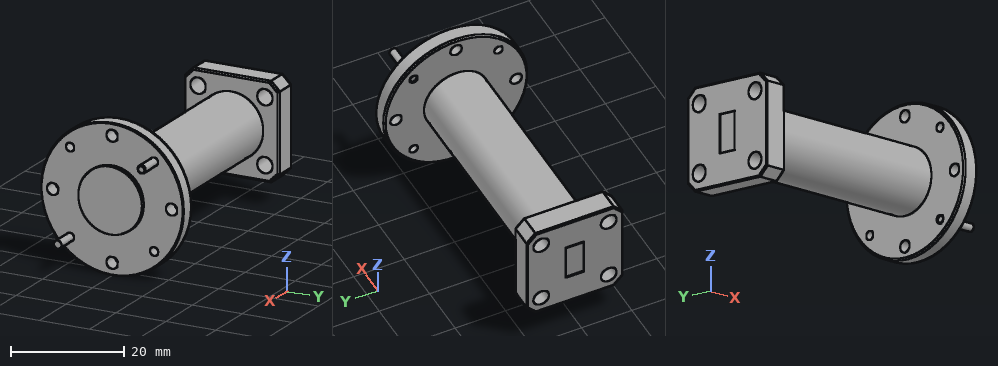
import cadquery as cq
import math


total_length = 54.85
square_thickness = 4.85
disc_start = 46.7
disc_thickness = 3.3
disc_end = disc_start + disc_thickness
boss_height = 0.75
short_pin_setback = 0.15

square_width = 19.05
corner_cut = 1.75
square_front_chamfer = 0.2
square_back_chamfer = 0.35
screw_hole_diameter = 3.05
screw_offset_y = 6.7
screw_offset_z = 6.35

window_width = 3.55
window_height = 7.15
window_depth = 0.2

tube_diameter = 12.75

disc_diameter = 28.6
disc_front_chamfer = 0.35
disc_back_chamfer = 0.15
bolt_circle_radius = 11.9
bolt_hole_diameter = 2.25
alignment_hole_diameter = 1.65

pin_diameter = 1.6
pin_chamfer = 0.15
pin_recess = 0.1
pin_start = disc_start + pin_recess

bolt_angles = (0, 90, 180, 270)
alignment_angles = (135, 315)
long_pin_angle = 45
short_pin_angle = long_pin_angle + 180


def plane_at(x):
    """Sketch plane facing +X, with local x along Y and local y along Z."""
    return cq.Workplane("YZ", origin=(x, 0, 0))


def on_bolt_circle(angle):
    """(Y, Z) point on the round flange's bolt circle."""
    a = math.radians(angle)
    return (bolt_circle_radius * math.cos(a), bolt_circle_radius * math.sin(a))


def make_square_flange():
    flange = (
        plane_at(0)
        .rect(square_width, square_width)
        .extrude(square_thickness)
        .edges("|X")
        .chamfer(corner_cut)
        .faces("<X")
        .chamfer(square_front_chamfer)
        .faces(">X")
        .chamfer(square_back_chamfer)
    )
    screw_holes = (
        plane_at(0)
        .rect(2 * screw_offset_y, 2 * screw_offset_z, forConstruction=True)
        .vertices()
        .circle(screw_hole_diameter / 2)
        .extrude(square_thickness)
    )
    return flange.cut(screw_holes)


def make_tube():
    return plane_at(0).circle(tube_diameter / 2).extrude(disc_end + boss_height)


def make_round_flange():
    disc = (
        plane_at(disc_start)
        .circle(disc_diameter / 2)
        .extrude(disc_thickness)
        .faces("<X")
        .chamfer(disc_front_chamfer)
        .faces(">X")
        .chamfer(disc_back_chamfer)
    )
    bolt_points = [on_bolt_circle(angle) for angle in bolt_angles]
    alignment_points = [on_bolt_circle(angle) for angle in alignment_angles]
    pin_points = [on_bolt_circle(angle) for angle in (long_pin_angle, short_pin_angle)]
    for points, diameter in (
        (bolt_points, bolt_hole_diameter),
        (alignment_points, alignment_hole_diameter),
        (pin_points, pin_diameter),
    ):
        holes = plane_at(disc_start).pushPoints(points).circle(diameter / 2).extrude(disc_thickness)
        disc = disc.cut(holes)
    return disc


def make_housing():
    """Both flanges and the tube, with the window sunk into the square flange."""
    window = plane_at(0).rect(window_width, window_height).extrude(window_depth)
    return make_square_flange().union(make_tube()).union(make_round_flange()).cut(window)


def make_pin(angle, end):
    """Dowel with a chamfered head, seated in the disc and reaching to X = end."""
    return (
        plane_at(pin_start)
        .pushPoints([on_bolt_circle(angle)])
        .circle(pin_diameter / 2)
        .extrude(end - pin_start)
        .faces("<X")
        .chamfer(pin_chamfer)
    )


housing = make_housing()
long_pin = make_pin(long_pin_angle, total_length).faces(">X").chamfer(pin_chamfer)
short_pin = make_pin(short_pin_angle, total_length - short_pin_setback)

result = cq.Compound.makeCompound([housing.val(), long_pin.val(), short_pin.val()])